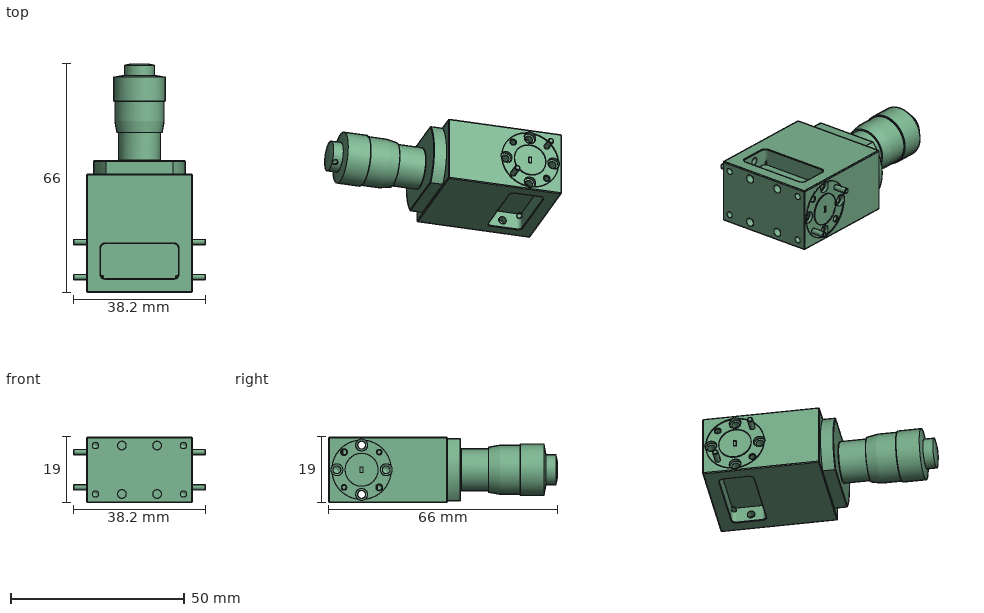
import cadquery as cq
import math

OVERALL_X = 38.25
PART_LENGTH = 66.05

BLOCK_X = 30.5
BLOCK_Y = 34.3
BLOCK_Z = 19.0
BLOCK_CHAMFER = 0.25

DISC_DIAMETER = 26.55
DISC_HEIGHT = 18.0
DISC_THICKNESS = 3.8
DISC_CHAMFER = 0.2

BARREL_RADIUS = 6.1
BARREL_LENGTH = 8.1
BARREL_NECK_RADIUS = 5.95
BARREL_NECK_LENGTH = 0.2
TAPER_SMALL_RADIUS = 6.55
TAPER_MID_RADIUS = 6.9
TAPER_LENGTH = 3.3
SLEEVE_RADIUS = 7.15
SLEEVE_LENGTH = 5.7
COLLAR_RADIUS = 7.45
COLLAR_LENGTH = 7.0
COLLAR_CHAMFER = 0.2
SHOULDER_RADIUS = 4.55
SHOULDER_LENGTH = 0.5
KNOB_RADIUS = 4.35
KNOB_TOP_RADIUS = 2.5
KNOB_CROWN = 0.4
GRUB_HOLE_DIAMETER = 1.6
GRUB_HOLE_DEPTH = 0.65
GRUB_HOLE_FROM_END = 1.3
GRUB_HOLE_ANGLE = 48.0

FLANGE_Y = BLOCK_Z / 2
RECESS_OUTER_DIAMETER = 17.2
RECESS_INNER_DIAMETER = 9.5
RECESS_DEPTH = 0.3
SCREW_CIRCLE_RADIUS = 7.15
SCREW_HOLE_DIAMETER = 2.25
SCREW_HOLE_DEPTH = 6.6
COUNTERBORE_DIAMETER = 3.45
COUNTERBORE_DEPTH = 1.45
GUIDE_WIDTH_Y = 0.8
GUIDE_HEIGHT_Z = 1.7
GUIDE_DEPTH = 0.3
ALIGN_OFFSET = 5.1
ALIGN_HOLE_DIAMETER = 1.6
ALIGN_HOLE_DEPTH = 4.75
ALIGN_HOLE_CHAMFER = 0.2
DRILL_TIP_ANGLE = 118.0

PIN_PROTRUSION = (OVERALL_X - BLOCK_X) / 2
PIN_CHAMFER = 0.2
PIN_DEPTH = 3.95

POCKET_X = 22.45
POCKET_Y = 10.1
POCKET_FRONT_WALL = 4.0
POCKET_DEPTH = 5.1
POCKET_CORNER_RADIUS = 1.3
POCKET_CHAMFER = 0.2

FRONT_HOLE_SPACING_Z = 14.0
CORNER_HOLE_SPACING_X = 25.4
CORNER_HOLE_DIAMETER = 1.85
CORNER_HOLE_DEPTH = 3.95
DOWEL_HOLE_SPACING_X = 10.2
DOWEL_HOLE_DIAMETER = 2.5
DOWEL_HOLE_DEPTH = 2.65


def rod(diameter, length, start, direction):
    return cq.Solid.makeCylinder(diameter / 2, length, cq.Vector(*start), cq.Vector(*direction))


def drilled_hole(diameter, depth, start, direction):
    """Blind hole cutter with a conical drill tip beyond its full-diameter depth."""
    tip_length = diameter / 2 / math.tan(math.radians(DRILL_TIP_ANGLE / 2))
    axis = cq.Vector(*direction)
    bottom = cq.Vector(*start) + axis * depth
    tip = cq.Solid.makeCone(diameter / 2, 0, tip_length, bottom, axis)
    return rod(diameter, depth, start, direction).fuse(tip)


def make_block():
    block = cq.Workplane("XY").box(BLOCK_X, BLOCK_Y, BLOCK_Z).edges().chamfer(BLOCK_CHAMFER)
    return block.translate((0, BLOCK_Y / 2, 0))


def make_mounting_disc():
    disc = cq.Workplane("XZ", origin=(0, BLOCK_Y + DISC_THICKNESS, 0)).circle(DISC_DIAMETER / 2)
    disc = disc.extrude(DISC_THICKNESS)
    flats = cq.Workplane("XY").box(DISC_DIAMETER, PART_LENGTH, DISC_HEIGHT).translate((0, BLOCK_Y, 0))
    return disc.intersect(flats).faces(">Y").chamfer(DISC_CHAMFER)


def make_micrometer():
    barrel_start = BLOCK_Y + DISC_THICKNESS
    taper_start = barrel_start + BARREL_LENGTH
    sleeve_start = taper_start + TAPER_LENGTH
    collar_start = sleeve_start + SLEEVE_LENGTH
    shoulder_start = collar_start + COLLAR_LENGTH
    knob_start = shoulder_start + SHOULDER_LENGTH
    crown_start = PART_LENGTH - KNOB_CROWN
    micrometer = (
        cq.Workplane("XY")
        .moveTo(0, barrel_start)
        .lineTo(BARREL_NECK_RADIUS, barrel_start)
        .lineTo(BARREL_NECK_RADIUS, barrel_start + BARREL_NECK_LENGTH)
        .lineTo(BARREL_RADIUS, barrel_start + BARREL_NECK_LENGTH)
        .lineTo(BARREL_RADIUS, taper_start)
        .lineTo(TAPER_SMALL_RADIUS, taper_start)
        .threePointArc((TAPER_MID_RADIUS, taper_start + TAPER_LENGTH / 2), (SLEEVE_RADIUS, sleeve_start))
        .lineTo(SLEEVE_RADIUS, collar_start)
        .lineTo(COLLAR_RADIUS - COLLAR_CHAMFER, collar_start)
        .lineTo(COLLAR_RADIUS, collar_start + COLLAR_CHAMFER)
        .lineTo(COLLAR_RADIUS, shoulder_start)
        .lineTo(SHOULDER_RADIUS, knob_start)
        .lineTo(KNOB_RADIUS, knob_start)
        .lineTo(KNOB_RADIUS, crown_start)
        .lineTo(KNOB_TOP_RADIUS, PART_LENGTH)
        .lineTo(0, PART_LENGTH)
        .close()
        .revolve(360, (0, 0, 0), (0, 1, 0))
    )
    angle = math.radians(GRUB_HOLE_ANGLE)
    outward = (-math.cos(angle), 0, -math.sin(angle))
    start_radius = KNOB_RADIUS - GRUB_HOLE_DEPTH
    start = (start_radius * outward[0], PART_LENGTH - GRUB_HOLE_FROM_END, start_radius * outward[2])
    return micrometer.cut(rod(GRUB_HOLE_DIAMETER, KNOB_RADIUS, start, outward))


def cut_pocket(block, side):
    """Rounded pocket with a chamfered rim; side is +1 for the top face, -1 for the bottom face."""
    centre = cq.Vector(0, POCKET_FRONT_WALL + POCKET_Y / 2, side * BLOCK_Z / 2)
    face = cq.Plane(origin=centre, xDir=(1, 0, 0), normal=(0, 0, side))
    pocket = (
        cq.Workplane(face)
        .rect(POCKET_X, POCKET_Y)
        .extrude(-POCKET_DEPTH)
        .edges("|Z")
        .fillet(POCKET_CORNER_RADIUS)
    )
    block = block.cut(pocket)
    rim = block.faces(">Z" if side > 0 else "<Z").val().innerWires()[0]
    return block.newObject(rim.Edges()).chamfer(POCKET_CHAMFER)


def pin_offsets(side):
    """(Y, Z) offsets of a flange's two pins: front-top and rear-bottom on -X, the other diagonal on +X."""
    return [(offset, side * offset) for offset in (-ALIGN_OFFSET, ALIGN_OFFSET)]


def open_hole_offsets(side):
    """(Y, Z) offsets of the two alignment holes left open, on the diagonal without pins."""
    return pin_offsets(-side)


def flange_cutters(side):
    """Cutters of one flange; side is -1 for the -X face, +1 for the +X face."""
    face_x = side * BLOCK_X / 2
    inward = (-side, 0, 0)
    centre = (face_x, FLANGE_Y, 0)
    recess = rod(RECESS_OUTER_DIAMETER, RECESS_DEPTH, centre, inward)
    recess = recess.cut(rod(RECESS_INNER_DIAMETER, RECESS_DEPTH, centre, inward))
    guide = cq.Workplane("XY").box(2 * GUIDE_DEPTH, GUIDE_WIDTH_Y, GUIDE_HEIGHT_Z).translate(centre).val()
    cutters = [recess, guide]

    for offset in (-SCREW_CIRCLE_RADIUS, SCREW_CIRCLE_RADIUS):
        in_line = (face_x, FLANGE_Y + offset, 0)
        above_below = (face_x, FLANGE_Y, offset)
        cutters.append(rod(COUNTERBORE_DIAMETER, COUNTERBORE_DEPTH, in_line, inward))
        cutters.append(rod(COUNTERBORE_DIAMETER, COUNTERBORE_DEPTH, above_below, inward))
        cutters.append(drilled_hole(SCREW_HOLE_DIAMETER, SCREW_HOLE_DEPTH, in_line, inward))
        cutters.append(rod(SCREW_HOLE_DIAMETER, BLOCK_X / 2, above_below, inward))

    rim_radius = ALIGN_HOLE_DIAMETER / 2 + ALIGN_HOLE_CHAMFER
    for offset_y, offset_z in pin_offsets(side) + open_hole_offsets(side):
        mouth = (face_x, FLANGE_Y + offset_y, offset_z)
        cutters.append(drilled_hole(ALIGN_HOLE_DIAMETER, ALIGN_HOLE_DEPTH, mouth, inward))
    for offset_y, offset_z in open_hole_offsets(side):
        rim_centre = cq.Vector(face_x - side * RECESS_DEPTH, FLANGE_Y + offset_y, offset_z)
        rim = cq.Solid.makeCone(
            rim_radius, ALIGN_HOLE_DIAMETER / 2, ALIGN_HOLE_CHAMFER, rim_centre, cq.Vector(*inward)
        )
        cutters.append(rim)
    return cutters


def front_hole_cutters():
    cutters = []
    for side_x in (-1, 1):
        for side_z in (-1, 1):
            z = side_z * FRONT_HOLE_SPACING_Z / 2
            corner = (side_x * CORNER_HOLE_SPACING_X / 2, 0, z)
            dowel = (side_x * DOWEL_HOLE_SPACING_X / 2, 0, z)
            cutters.append(drilled_hole(CORNER_HOLE_DIAMETER, CORNER_HOLE_DEPTH, corner, (0, 1, 0)))
            cutters.append(rod(DOWEL_HOLE_DIAMETER, DOWEL_HOLE_DEPTH, dowel, (0, 1, 0)))
    return cutters


def make_body():
    block = make_block()
    for side in (-1, 1):
        block = cut_pocket(block, side)
    body = block.union(make_mounting_disc()).union(make_micrometer())
    for side in (-1, 1):
        for cutter in flange_cutters(side):
            body = body.cut(cq.Workplane(cutter))
    for cutter in front_hole_cutters():
        body = body.cut(cq.Workplane(cutter))
    return body


def make_pin(side, offset_y, offset_z):
    length = PIN_PROTRUSION + PIN_DEPTH
    start = (side * (BLOCK_X / 2 - PIN_DEPTH), FLANGE_Y + offset_y, offset_z)
    pin = cq.Workplane(rod(ALIGN_HOLE_DIAMETER, length, start, (side, 0, 0)))
    return pin.faces(">X" if side > 0 else "<X").chamfer(PIN_CHAMFER)


body = make_body()
pins = [make_pin(side, *offsets) for side in (-1, 1) for offsets in pin_offsets(side)]

result = cq.Compound.makeCompound([body.val(), *[pin.val() for pin in pins]])